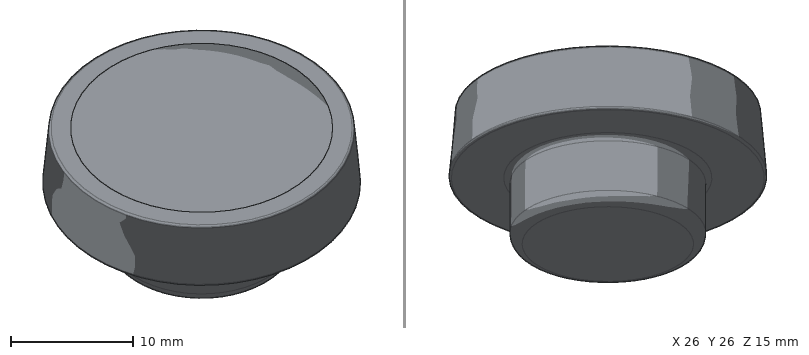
import cadquery as cq
import math

stem_radius = 8.0
stem_height = 6.0
stem_bottom_fillet = 1.0
stem_root_fillet = 0.5

head_bottom_radius = 13.0
head_height = 6.0
head_draft_angle = 5.0
head_edge_fillet = 0.2

dome_base_radius = 10.7
dome_height = 3.0

head_top_z = stem_height + head_height
dome_sphere_radius = (dome_base_radius**2 + dome_height**2) / (2 * dome_height)


def make_stem():
    """Cylinder from the base plane up to the head, rounded at its lower rim."""
    stem = cq.Workplane("XY").circle(stem_radius).extrude(stem_height)
    return stem.faces("<Z").edges().fillet(stem_bottom_fillet)


def make_head():
    """Drafted disc with both rims lightly rounded."""
    head = cq.Workplane("XY").workplane(offset=stem_height).circle(head_bottom_radius)
    head = head.extrude(head_height, taper=head_draft_angle)
    return head.edges("%CIRCLE").fillet(head_edge_fillet)


def make_root_flare():
    """Ring with a concave quarter-round that blends the stem into the head underside."""
    flare_radius = stem_radius + stem_root_fillet
    flare_bottom_z = stem_height - stem_root_fillet
    arc_offset = stem_root_fillet * math.sqrt(0.5)
    profile = (
        cq.Workplane("XZ")
        .moveTo(0, flare_bottom_z)
        .lineTo(stem_radius, flare_bottom_z)
        .threePointArc(
            (flare_radius - arc_offset, flare_bottom_z + arc_offset),
            (flare_radius, stem_height),
        )
        .lineTo(0, stem_height)
        .close()
    )
    return profile.revolve(360, (0, 0, 0), (0, 1, 0))


def make_dome():
    """Spherical cap whose flat side lies on the head's top face."""
    half_angle = math.asin(dome_base_radius / dome_sphere_radius) / 2
    center_z = head_top_z + dome_height - dome_sphere_radius
    arc_middle = (
        dome_sphere_radius * math.sin(half_angle),
        center_z + dome_sphere_radius * math.cos(half_angle),
    )
    profile = (
        cq.Workplane("XZ")
        .moveTo(0, head_top_z)
        .lineTo(dome_base_radius, head_top_z)
        .threePointArc(arc_middle, (0, head_top_z + dome_height))
        .close()
    )
    return profile.revolve(360, (0, 0, 0), (0, 1, 0))


result = make_stem().union(make_root_flare()).union(make_head()).union(make_dome())